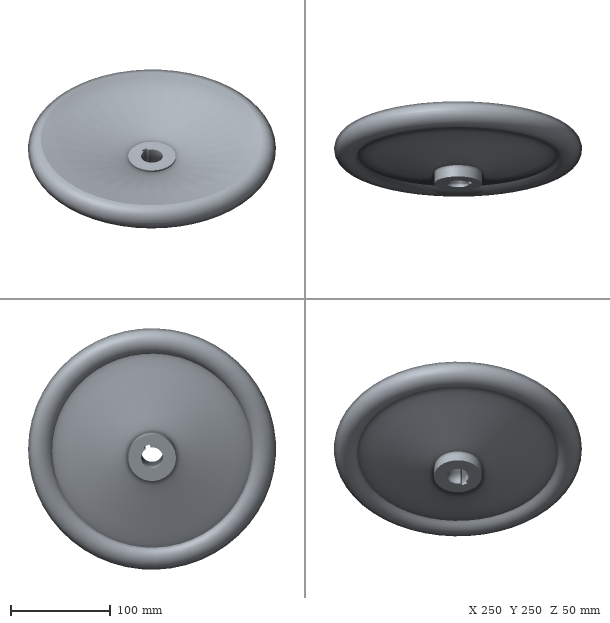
import cadquery as cq
import math

wheel_diameter = 250.0
wheel_height = 50.0

rim_section_radius = 13.0
rim_outer_radius = wheel_diameter / 2
rim_centre_radius = rim_outer_radius - rim_section_radius
rim_centre_height = wheel_height - rim_section_radius
rim_bottom_height = rim_centre_height - rim_section_radius

hub_radius = 24.0
hub_height = 28.0

web_bottom_at_hub = 12.0
web_top_at_hub = 26.0
web_bottom_slope = 0.24

bore_radius = 11.0
key_width = 6.0
key_depth = 2.8


def web_to_rim_point():
    """(radius, height) where the web's conical underside enters the rim's round section."""
    angle = math.atan(web_bottom_slope)
    web_height = web_bottom_at_hub + web_bottom_slope * (rim_centre_radius - hub_radius)
    centre_to_web = (rim_centre_height - web_height) * math.cos(angle)
    half_chord = math.sqrt(rim_section_radius**2 - centre_to_web**2)
    radius = rim_centre_radius + centre_to_web * math.sin(angle) - half_chord * math.cos(angle)
    height = rim_centre_height - centre_to_web * math.cos(angle) - half_chord * math.sin(angle)
    return radius, height


def make_wheel():
    """Hub, web and rim revolved from one half section, with the outline starting on the axis."""
    return (
        cq.Workplane("XZ")
        .lineTo(hub_radius, 0)
        .lineTo(hub_radius, web_bottom_at_hub)
        .lineTo(*web_to_rim_point())
        .threePointArc((rim_centre_radius, rim_bottom_height), (rim_outer_radius, rim_centre_height))
        .radiusArc((rim_centre_radius, wheel_height), -rim_section_radius)
        .lineTo(hub_radius, web_top_at_hub)
        .lineTo(hub_radius, hub_height)
        .lineTo(0, hub_height)
        .close()
        .revolve(360, (0, 0), (0, 1))
    )


def make_keyed_bore():
    """Through bore with a keyway on its -X side."""
    bore = cq.Workplane("XY").circle(bore_radius).extrude(hub_height)
    key_reach = bore_radius + key_depth
    keyway = (
        cq.Workplane("XY")
        .center(-key_reach / 2, 0)
        .rect(key_reach, key_width)
        .extrude(hub_height)
    )
    return bore.union(keyway)


result = make_wheel().cut(make_keyed_bore())